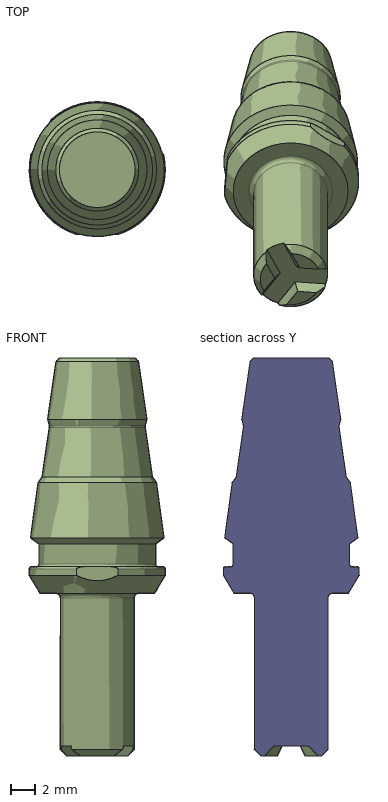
import cadquery as cq
import math

total_height = 32.6

shank_radius = 3.03
shank_chamfer = 0.55
shank_fillet = 0.4

collar_radius = 5.57
collar_base_radius = 4.7
collar_base_z = 13.33
collar_rim_z = 14.8
collar_top_z = 15.52
collar_round = 0.2
flat_distance = 5.3

neck_radius = 4.8
neck_top_z = 17.38
neck_fillet = 0.2

lower_base_radius = 5.48
lower_base_z = 17.85
lower_top_radius = 4.85
lower_top_z = 22.4
middle_base_radius = 4.53
middle_base_z = 22.85
groove_radius = 3.95
groove_base_z = 26.9
groove_top_z = 27.1
upper_base_radius = 4.08
upper_base_z = 27.58
upper_top_radius = 3.4
tip_chamfer = 0.3

flat_angles = (30, 150, 270)
notch_angles = (90, 210, 330)
notch_depth = 0.8
notch_mouth_width = 2.28
notch_floor_width = 1.5

DIAGONAL = math.sqrt(0.5)


def turned_body():
    """Revolve the half outline, drawn as radius against height."""
    shank_fillet_inset = shank_fillet * (1 - DIAGONAL)
    neck_fillet_inset = neck_fillet * (1 - DIAGONAL)
    collar_round_inset = collar_round * (1 - DIAGONAL)
    outline = (
        cq.Workplane("XZ")
        .moveTo(0, 0)
        .lineTo(shank_radius - shank_chamfer, 0)
        .lineTo(shank_radius, shank_chamfer)
        .lineTo(shank_radius, collar_base_z - shank_fillet)
        .threePointArc(
            (shank_radius + shank_fillet_inset, collar_base_z - shank_fillet_inset),
            (shank_radius + shank_fillet, collar_base_z),
        )
        .lineTo(collar_base_radius, collar_base_z)
        .lineTo(collar_radius, collar_rim_z)
        .lineTo(collar_radius, collar_top_z - collar_round)
        .threePointArc(
            (collar_radius - collar_round_inset, collar_top_z - collar_round_inset),
            (collar_radius - collar_round, collar_top_z),
        )
        .lineTo(neck_radius + neck_fillet, collar_top_z)
        .threePointArc(
            (neck_radius + neck_fillet_inset, collar_top_z + neck_fillet_inset),
            (neck_radius, collar_top_z + neck_fillet),
        )
        .lineTo(neck_radius, neck_top_z)
        .lineTo(lower_base_radius, lower_base_z)
        .lineTo(lower_top_radius, lower_top_z)
        .lineTo(middle_base_radius, middle_base_z)
        .lineTo(groove_radius, groove_base_z)
        .lineTo(groove_radius, groove_top_z)
        .lineTo(upper_base_radius, upper_base_z)
        .lineTo(upper_top_radius, total_height - tip_chamfer)
        .lineTo(upper_top_radius - tip_chamfer, total_height)
        .lineTo(0, total_height)
        .close()
    )
    return outline.revolve(360, (0, 0, 0), (0, 1, 0))


def collar_flat(angle):
    """Block that trims the collar to a flat facing the given angle."""
    return (
        cq.Workplane("XY", origin=(0, 0, collar_base_z))
        .box(
            collar_radius,
            2 * collar_radius,
            collar_top_z - collar_base_z,
            centered=(False, True, False),
        )
        .translate((flat_distance, 0, 0))
        .rotate((0, 0, 0), (0, 0, 1), angle)
    )


def end_notch(angle):
    """Tapered radial notch running from the axis out through the shank end."""
    return (
        cq.Workplane("YZ")
        .polyline([
            (-notch_mouth_width / 2, 0),
            (notch_mouth_width / 2, 0),
            (notch_floor_width / 2, notch_depth),
            (-notch_floor_width / 2, notch_depth),
        ])
        .close()
        .extrude(2 * shank_radius)
        .rotate((0, 0, 0), (0, 0, 1), angle)
    )


result = turned_body()
for flat_angle in flat_angles:
    result = result.cut(collar_flat(flat_angle))
for notch_angle in notch_angles:
    result = result.cut(end_notch(notch_angle))